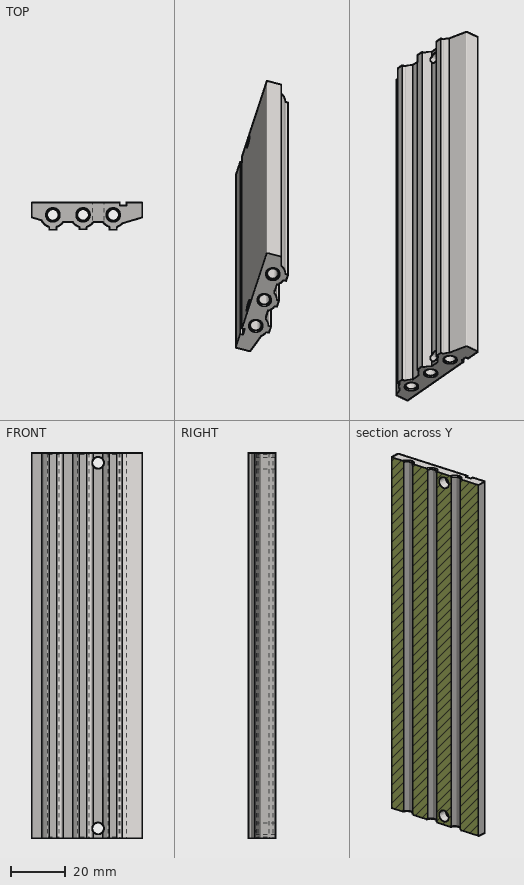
import cadquery as cq
import math

width = 40.3
depth = 10.0
length = 140.5

channel_count = 3
channel_pitch = 11.0
first_channel_x = 7.7
channel_x = [first_channel_x + i * channel_pitch for i in range(channel_count)]
channel_from_back = 4.55
channel_diameter = 4.13
countersink_diameter = 5.1

wall_radius = 4.6
rib_width = 2.7
middle_rib_shortfall = 0.2
side_wall_depth = 5.5
flank_slope = 0.3
valley_depth = 7.15

rib_root_radius = 0.3
corner_radius = 0.3

groove_left_x = 32.1
groove_width = 2.4
groove_depth = 1.1

cross_hole_diameter = 4.2
cross_hole_x = (channel_x[1] + channel_x[2]) / 2
cross_hole_from_end = 3.6

channel_y = -channel_from_back
valley_reach = math.sqrt(wall_radius**2 - (valley_depth - channel_from_back) ** 2)


def wall_point(center_x, offset):
    """Point on the front of the round wall, at a sideways offset from its channel."""
    return (center_x + offset, channel_y - math.sqrt(wall_radius**2 - offset**2))


def flank_reach(side_distance):
    """Sideways distance from an outer channel to where the sloping flank meets its round wall.

    Solves (drop - slope * reach)^2 + reach^2 = wall_radius^2, where drop is how far the
    extended flank lies in front of the channel axis.
    """
    drop = side_wall_depth + flank_slope * side_distance - channel_from_back
    steepness = 1 + flank_slope**2
    root = math.sqrt(steepness * wall_radius**2 - drop**2)
    return (flank_slope * drop + root) / steepness


def add_ribbed_wall(outline, center_x, left_reach, right_reach, rib_tip):
    """Draw arc, rib and arc around one channel, going from left to right."""
    half_rib = rib_width / 2
    return (
        outline.lineTo(*wall_point(center_x, -left_reach))
        .threePointArc(
            wall_point(center_x, -(left_reach + half_rib) / 2),
            wall_point(center_x, -half_rib),
        )
        .lineTo(center_x - half_rib, -rib_tip)
        .lineTo(center_x + half_rib, -rib_tip)
        .lineTo(*wall_point(center_x, half_rib))
        .threePointArc(
            wall_point(center_x, (right_reach + half_rib) / 2),
            wall_point(center_x, right_reach),
        )
    )


def edges_along_z(body, points):
    """Lengthwise edges of the body that pass through the given profile points."""
    tolerance = 0.01
    edges = []
    for edge in body.edges("|Z").vals():
        middle = edge.Center()
        if any(math.dist((middle.x, middle.y), point) < tolerance for point in points):
            edges.append(edge)
    return body.newObject(edges)


def make_bar():
    left_flank_reach = flank_reach(channel_x[0])
    right_flank_reach = flank_reach(width - channel_x[-1])
    middle_tip = depth - middle_rib_shortfall

    outline = cq.Workplane("XY").moveTo(0, 0).lineTo(0, -side_wall_depth)
    outline = add_ribbed_wall(outline, channel_x[0], left_flank_reach, valley_reach, depth)
    outline = add_ribbed_wall(outline, channel_x[1], valley_reach, valley_reach, middle_tip)
    outline = add_ribbed_wall(outline, channel_x[2], valley_reach, right_flank_reach, depth)
    outline = outline.lineTo(width, -side_wall_depth).lineTo(width, 0)
    return outline.close().extrude(length)


def round_profile_edges(body):
    rib_roots = [wall_point(x, side * rib_width / 2) for x in channel_x for side in (-1, 1)]
    corners = [(x, y) for x in (0, width) for y in (0, -side_wall_depth)]
    body = edges_along_z(body, rib_roots).fillet(rib_root_radius)
    return edges_along_z(body, corners).fillet(corner_radius)


def cut_channels(body):
    centers = [(x, channel_y) for x in channel_x]
    channels = cq.Workplane("XY").pushPoints(centers).circle(channel_diameter / 2).extrude(length)
    body = body.cut(channels)
    countersink_depth = (countersink_diameter - channel_diameter) / 2
    for x, y in centers:
        for end_z, inward in ((0, 1), (length, -1)):
            cone = cq.Solid.makeCone(
                countersink_diameter / 2,
                channel_diameter / 2,
                countersink_depth,
                cq.Vector(x, y, end_z),
                cq.Vector(0, 0, inward),
            )
            body = body.cut(cq.Workplane(cone))
    return body


def cut_groove(body):
    groove = cq.Workplane("XY").box(groove_width, groove_depth, length, centered=False)
    return body.cut(groove.translate((groove_left_x, -groove_depth, 0)))


def cut_cross_holes(body):
    heights = (cross_hole_from_end, length - cross_hole_from_end)
    holes = (
        cq.Workplane("XZ")
        .pushPoints([(cross_hole_x, z) for z in heights])
        .circle(cross_hole_diameter / 2)
        .extrude(depth)
    )
    return body.cut(holes)


bar = round_profile_edges(make_bar())
result = cut_cross_holes(cut_groove(cut_channels(bar)))